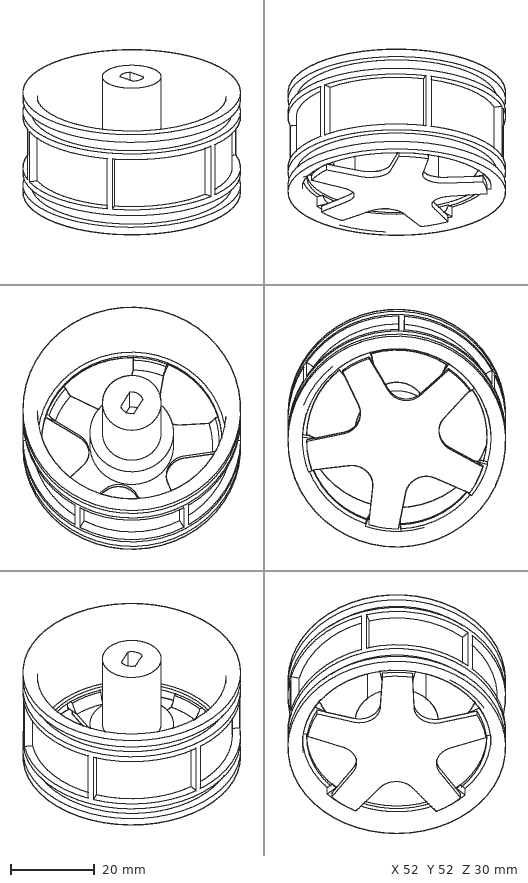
import cadquery as cq
import math

rim_radius = 26.0
rim_width = 26.0
flange_width = 2.0
groove_width = 3.0
band_width = 1.5
barrel_radius = 24.0
bore_radius = 22.5
bore_round = 1.5
collar_radius = 21.55
collar_bottom = 4.0
collar_height = 1.0

rib_count = 6
rib_thickness = 1.35

spoke_count = 5
first_window_angle = -90.0
web_radius = collar_radius
web_thickness = 1.5
window_inner_radius = 10.3
window_corner_radius = 5.0
window_half_angle = math.radians(38.6)
lip_inner_radius = 19.3
lip_top_radius = 20.85
lip_curve_radius = 5.2
lip_gap_angle = math.radians(50.0)

boss_radius = 10.0
boss_height = 10.0
hub_radius = 7.0
hub_height = 30.0
axle_hole_diameter = 5.55
axle_hole_flats = 3.65
axle_hole_depth = 10.0

clearance = 0.5


def disc(radius, bottom, height):
    return cq.Workplane("XY").workplane(offset=bottom).circle(radius).extrude(height)


def ring(outer_radius, inner_radius, bottom, height):
    return disc(outer_radius, bottom, height).cut(disc(inner_radius, bottom, height))


def cut_around(body, cutter, count, first_angle):
    """Cut evenly spaced copies of a shape, turned around the Z axis, out of a body."""
    for i in range(count):
        body = body.cut(cutter.rotate((0, 0, 0), (0, 0, 1), first_angle + i * 360 / count))
    return body


def make_pockets():
    """Belt around the barrel, interrupted by the cross ribs."""
    bottom = flange_width + groove_width + band_width
    height = rim_width - 2 * bottom
    reach = rim_radius + clearance
    belt = ring(reach, barrel_radius, bottom, height)
    rib = (
        cq.Workplane("XY")
        .workplane(offset=bottom)
        .center(reach / 2, 0)
        .rect(reach, rib_thickness)
        .extrude(height)
    )
    return cut_around(belt, rib, rib_count, 0)


def make_rim():
    """Tube with rounded inner edges, a collar in its bore, and grooves and pockets outside."""
    tube = ring(rim_radius, bore_radius, 0, rim_width)
    bore_edges = tube.edges("%CIRCLE").edges(cq.selectors.RadiusNthSelector(0))
    rim = bore_edges.fillet(bore_round)
    rim = rim.union(ring(barrel_radius, collar_radius, collar_bottom, collar_height))
    for groove_bottom in (flange_width, rim_width - flange_width - groove_width):
        rim = rim.cut(ring(rim_radius + clearance, barrel_radius, groove_bottom, groove_width))
    return rim.cut(make_pockets())


def make_web():
    """Disc with windows that widen outward from a rounded inner end."""
    arc_centre = window_inner_radius + window_corner_radius
    tangent_x = arc_centre - window_corner_radius * math.sin(window_half_angle)
    tangent_y = window_corner_radius * math.cos(window_half_angle)
    outer_x = rim_radius
    outer_y = tangent_y + (outer_x - tangent_x) * math.tan(window_half_angle)
    window = (
        cq.Workplane("XY")
        .moveTo(outer_x, -outer_y)
        .lineTo(tangent_x, -tangent_y)
        .threePointArc((window_inner_radius, 0), (tangent_x, tangent_y))
        .lineTo(outer_x, outer_y)
        .close()
        .extrude(web_thickness)
    )
    return cut_around(disc(web_radius, 0, web_thickness), window, spoke_count, first_window_angle)


def make_lip():
    """Ring under the collar with a hollow-curved inner side, cut into one piece per spoke."""
    lip = (
        cq.Workplane("XZ")
        .moveTo(lip_inner_radius, web_thickness)
        .lineTo(bore_radius, web_thickness)
        .lineTo(bore_radius, collar_bottom)
        .lineTo(lip_top_radius, collar_bottom)
        .radiusArc((lip_inner_radius, web_thickness), lip_curve_radius)
        .close()
        .revolve(360, (0, 0, 0), (0, 1, 0))
    )
    gap_x = rim_radius
    gap_y = gap_x * math.tan(lip_gap_angle / 2)
    wedge = [(0, 0), (gap_x, -gap_y), (gap_x, gap_y)]
    gap = cq.Workplane("XY").polyline(wedge).close().extrude(collar_bottom)
    return cut_around(lip, gap, spoke_count, first_window_angle)


def make_axle_hole():
    """Blind round hole with two flats, open at the top of the hub."""
    bottom = hub_height - axle_hole_depth
    flats = (
        cq.Workplane("XY")
        .workplane(offset=bottom)
        .rect(axle_hole_diameter, axle_hole_flats)
        .extrude(axle_hole_depth)
    )
    return disc(axle_hole_diameter / 2, bottom, axle_hole_depth).intersect(flats)


def make_hub():
    """Wide boss with a narrower hub rising from it."""
    hub = disc(boss_radius, 0, boss_height).union(disc(hub_radius, 0, hub_height))
    return hub.cut(make_axle_hole())


result = make_rim().union(make_lip()).union(make_web().union(make_hub()))